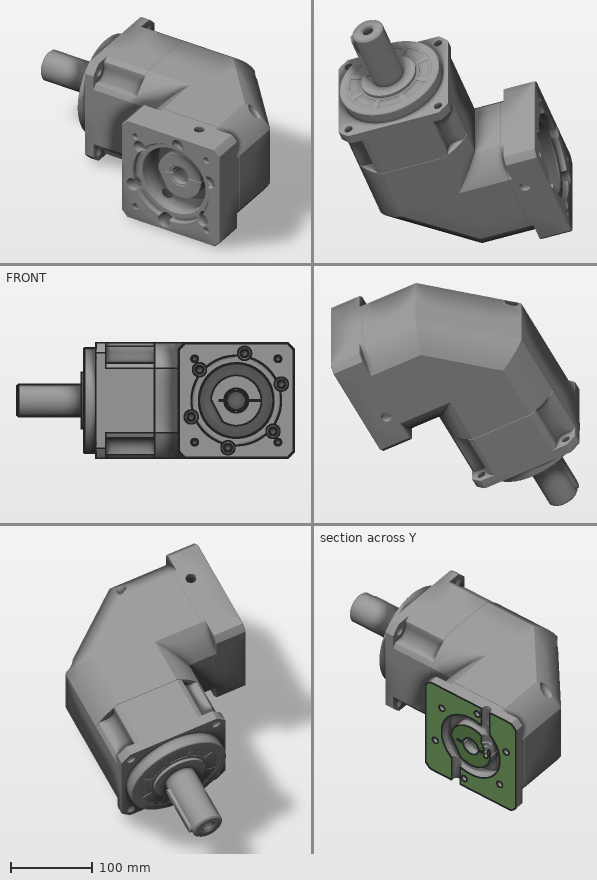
import cadquery as cq
import math


LENGTH_X = 341.0
LENGTH_Y = 220.0
SIDE = 142.0
HALF = SIDE / 2
SHAFT_TIP = HALF - LENGTH_X
INPUT_FACE = LENGTH_Y - HALF
FAR = 204.5

FLAT_HALF = 39.5
BODY_RADIUS = math.hypot(HALF, FLAT_HALF)
FLANGE_RADIUS = 92.5
ADAPTER_RADIUS = 95.0

SHAFT_REACH = 79.0
COLLAR_STEP = 3.0
PILOT_LENGTH = 15.0
FLANGE_THICKNESS = 12.3
GEAR_BODY_LENGTH = 60.0
PILOT_FRONT = SHAFT_TIP + SHAFT_REACH + COLLAR_STEP
FLANGE_FRONT = PILOT_FRONT + PILOT_LENGTH
FLANGE_BACK = FLANGE_FRONT + FLANGE_THICKNESS
GEAR_BACK = FLANGE_BACK + GEAR_BODY_LENGTH

PILOT_DIAMETER = 130.0
PILOT_CHAMFER = 1.0
MOUNT_HOLE_OFFSET = 58.3
MOUNT_HOLE_DIAMETER = 11.0
BOLT_GROOVE_RADIUS = 12.0
GROOVE_FLARE_START = 64.5
GROOVE_FLARE_SLOPE = 0.1
JOINT_CHAMFER = 0.7

COVER_DIAMETER = 109.8
COVER_DEPTH = 0.7
COVER_CHAMFER = 0.7
COVER_PAD_COUNT = 8
COVER_PAD_INNER_RADIUS = 39.0
COVER_PAD_OUTER_RADIUS = 52.5
COVER_PAD_HALF_ANGLE = 18.2
COVER_PAD_DEPTH = 0.7

SHAFT_DIAMETER = 40.0
SHAFT_CHAMFER = 2.0
COLLAR_DIAMETER = 70.0
KEY_WIDTH = 12.0
KEY_LENGTH = 66.5
KEY_TOP = 23.2
KEY_SETBACK = 4.0
CENTRE_MOUTH_RADIUS = 10.2
CENTRE_MOUTH_DEPTH = 1.0
CENTRE_SINK_RADIUS = 8.5
CENTRE_SINK_DEPTH = 1.7
CENTRE_DRILL_RADIUS = 6.8
CENTRE_DRILL_DEPTH = 34.0
DRILL_POINT_ANGLE = 118.0

SLANT_TOP_X = -15.0
SLANT_RIGHT_Y = -31.5
SLANT_RADIUS = 84.0
SCREW_CIRCLE_RADIUS = 72.3
SCREW_ANGLES = (31.6, 121.6)
SCREW_POCKET_DIAMETER = 13.5
SCREW_SEAT_X = -20.5

ADAPTER_THICKNESS = 45.5
ADAPTER_COLLAR = 5.0
JOINT_DEPTH = INPUT_FACE - ADAPTER_THICKNESS
ADAPTER_CHAMFER = 1.0
BORE_DIAMETER = 90.7
BORE_CHAMFER = 1.0
RING_DIAMETER = 109.8
RING_DEPTH = 7.0
RING_CHAMFER = 0.7
CORNER_HOLE_SPACING = 102.5
CORNER_HOLE_DIAMETER = 6.8
CORNER_HOLE_DEPTH = 20.5
POCKET_CIRCLE_RADIUS = 59.0
POCKET_COUNT = 6
POCKET_START_ANGLE = 20.0
POCKET_DIAMETER = 17.0
POCKET_DEPTH = 20.5
POCKET_HOLE_DIAMETER = 8.2
POCKET_HOLE_DEPTH = 13.5
THREAD_CHAMFER = 1.0

HUB_DIAMETER = 61.7
HUB_FACE_DEPTH = 20.5
HUB_BORE_DIAMETER = 23.2
HUB_MOUTH_DIAMETER = 28.5
HUB_MOUTH_DEPTH = 1.0
HUB_CHAMFER = 0.7
HUB_SLIT_WIDTH = 1.5
HUB_SLIT_BLIND_REACH = 21.0
HUB_FLAT_ANGLE = 207.5
HUB_FLAT_DISTANCE = 27.0
CLAMP_X = 23.2
CLAMP_DEPTH = 29.3
CLAMP_ACCESS_DIAMETER = 13.3
CLAMP_SEAT_Z = 13.5
CLAMP_HEAD_DIAMETER = 9.2
CLAMP_HEAD_DEPTH = 5.0
CLAMP_SOCKET_DIAMETER = 6.0
CLAMP_SOCKET_DEPTH = 13.5


def disc(plane, start, end, diameter):
    """Cylinder about the plane's axis between two offsets along it."""
    return cq.Workplane(plane).workplane(offset=start).circle(diameter / 2).extrude(end - start)


def turned_block(plane, start, end, corner_radius):
    """Square block whose corners are turned to a round radius."""
    block = cq.Workplane(plane).workplane(offset=start).rect(SIDE, SIDE).extrude(end - start)
    return block.intersect(disc(plane, start, end, 2 * corner_radius))


def mouth_chamfer(plane, mouth, diameter, chamfer, inward):
    """Cone that breaks the mouth edge of a round recess.

    The mouth is an offset along the plane's axis; inward (1 or -1) points into the recess.
    """
    radius = diameter / 2
    return (
        cq.Workplane(plane).workplane(offset=mouth).circle(radius + chamfer)
        .workplane(offset=inward * chamfer).circle(radius).loft()
    )


def cone_point(radius):
    return radius / math.tan(math.radians(DRILL_POINT_ANGLE / 2))


def drilled_hole(diameter, depth, chamfer):
    """Chamfered blind hole with a drill point, opening at the origin and running along -Z."""
    radius = diameter / 2
    mouth = radius + chamfer
    outline = [(0, 0), (mouth, 0), (radius, -chamfer), (radius, -depth), (0, -depth - cone_point(radius))]
    return cq.Workplane("XZ").polyline(outline).close().revolve(360, (0, 0, 0), (0, 1, 0))


def input_hole(hole, x, z, depth_below_face):
    """Turn a -Z hole to run along +Y and put its mouth below the input face."""
    turned = hole.rotate((0, 0, 0), (1, 0, 0), 90)
    return turned.translate((x, depth_below_face - INPUT_FACE, z))


def bolt_groove():
    """Clearance groove in the +Y +Z corner, with straight, slightly flared walls."""
    wall = MOUNT_HOLE_OFFSET - BOLT_GROOVE_RADIUS
    outside = BODY_RADIUS
    flare = wall - (outside - GROOVE_FLARE_START) * GROOVE_FLARE_SLOPE
    arc_mid = MOUNT_HOLE_OFFSET - BOLT_GROOVE_RADIUS * math.sqrt(0.5)
    return (
        cq.Workplane("YZ").workplane(offset=FLANGE_BACK)
        .moveTo(wall, MOUNT_HOLE_OFFSET)
        .threePointArc((arc_mid, arc_mid), (MOUNT_HOLE_OFFSET, wall))
        .lineTo(GROOVE_FLARE_START, wall)
        .lineTo(outside, flare)
        .lineTo(outside, outside)
        .lineTo(flare, outside)
        .lineTo(wall, GROOVE_FLARE_START)
        .close()
        .extrude(GEAR_BODY_LENGTH)
    )


def cover_pads():
    """Ring of shallow sector recesses in the cover face."""
    half_angle = math.radians(COVER_PAD_HALF_ANGLE)

    def at(radius, angle):
        return (radius * math.cos(angle), radius * math.sin(angle))

    pad = (
        cq.Workplane("YZ").workplane(offset=PILOT_FRONT + COVER_DEPTH)
        .moveTo(*at(COVER_PAD_INNER_RADIUS, -half_angle))
        .lineTo(*at(COVER_PAD_OUTER_RADIUS, -half_angle))
        .threePointArc(at(COVER_PAD_OUTER_RADIUS, 0), at(COVER_PAD_OUTER_RADIUS, half_angle))
        .lineTo(*at(COVER_PAD_INNER_RADIUS, half_angle))
        .threePointArc(at(COVER_PAD_INNER_RADIUS, 0), at(COVER_PAD_INNER_RADIUS, -half_angle))
        .close()
        .extrude(COVER_PAD_DEPTH)
    )
    return [pad.rotate((0, 0, 0), (1, 0, 0), i * 360 / COVER_PAD_COUNT) for i in range(COVER_PAD_COUNT)]


def make_gear_housing():
    pilot = disc("YZ", PILOT_FRONT, FLANGE_FRONT, PILOT_DIAMETER).faces("<X").chamfer(PILOT_CHAMFER)
    body = turned_block("YZ", FLANGE_BACK, GEAR_BACK, BODY_RADIUS).faces(">X").chamfer(JOINT_CHAMFER)
    housing = turned_block("YZ", FLANGE_FRONT, FLANGE_BACK, FLANGE_RADIUS)
    housing = housing.union(body).union(pilot)

    for i in range(4):
        housing = housing.cut(bolt_groove().rotate((0, 0, 0), (1, 0, 0), 90 * i))
    housing = housing.cut(
        cq.Workplane("YZ").workplane(offset=FLANGE_FRONT)
        .rect(2 * MOUNT_HOLE_OFFSET, 2 * MOUNT_HOLE_OFFSET, forConstruction=True).vertices()
        .circle(MOUNT_HOLE_DIAMETER / 2).extrude(FLANGE_THICKNESS))

    housing = housing.cut(disc("YZ", PILOT_FRONT, PILOT_FRONT + COVER_DEPTH, COVER_DIAMETER))
    housing = housing.cut(mouth_chamfer("YZ", PILOT_FRONT, COVER_DIAMETER, COVER_CHAMFER, 1))
    for pad in cover_pads():
        housing = housing.cut(pad)
    return housing.cut(disc("YZ", PILOT_FRONT, FLANGE_BACK, COLLAR_DIAMETER))


def centre_hole():
    """Countersunk, stepped centre hole in the shaft end."""
    outline = [
        (0, 0),
        (0, CENTRE_MOUTH_RADIUS),
        (CENTRE_MOUTH_DEPTH, CENTRE_SINK_RADIUS),
        (CENTRE_SINK_DEPTH, CENTRE_SINK_RADIUS),
        (CENTRE_SINK_DEPTH, CENTRE_DRILL_RADIUS),
        (CENTRE_DRILL_DEPTH, CENTRE_DRILL_RADIUS),
        (CENTRE_DRILL_DEPTH + cone_point(CENTRE_DRILL_RADIUS), 0),
    ]
    hole = cq.Workplane("XY").polyline(outline).close().revolve(360, (0, 0, 0), (1, 0, 0))
    return hole.translate((SHAFT_TIP, 0, 0))


def make_output_shaft():
    collar_front = SHAFT_TIP + SHAFT_REACH
    journal = disc("YZ", SHAFT_TIP, collar_front, SHAFT_DIAMETER).faces("<X").chamfer(SHAFT_CHAMFER)
    collar = disc("YZ", collar_front, FLANGE_BACK, COLLAR_DIAMETER)
    key = (
        cq.Workplane("XZ", origin=(SHAFT_TIP + KEY_SETBACK + KEY_LENGTH / 2, 0, 0))
        .slot2D(KEY_LENGTH, KEY_WIDTH).extrude(-KEY_TOP)
    )
    return journal.union(collar).union(key).cut(centre_hole())


def rounded_side(direction, face, radius):
    """Long slab filling everything behind one housing side.

    The side is flat in the middle and rounds over to the top and bottom. It faces the
    horizontal direction (x, y) and lies at the given distance from the origin.
    """
    facing = cq.Vector(direction[0], direction[1], 0)
    plane = cq.Plane(origin=(0, 0, 0), xDir=facing, normal=facing.cross(cq.Vector(0, 0, 1)))
    centre = face - math.sqrt(radius**2 - FLAT_HALF**2)
    rim = centre + math.sqrt(radius**2 - HALF**2)
    mid_z = (FLAT_HALF + HALF) / 2
    mid = centre + math.sqrt(radius**2 - mid_z**2)
    return (
        cq.Workplane(plane)
        .moveTo(-FAR, -HALF)
        .lineTo(rim, -HALF)
        .threePointArc((mid, -mid_z), (face, -FLAT_HALF))
        .lineTo(face, FLAT_HALF)
        .threePointArc((mid, mid_z), (rim, HALF))
        .lineTo(-FAR, HALF)
        .close()
        .extrude(FAR, both=True)
    )


def make_elbow():
    slant_run = HALF - SLANT_TOP_X
    slant_drop = HALF - SLANT_RIGHT_Y
    slant_length = math.hypot(slant_run, slant_drop)
    slant_direction = (slant_drop / slant_length, slant_run / slant_length)
    slant_face = slant_direction[0] * HALF + slant_direction[1] * SLANT_RIGHT_Y

    inner_sides = rounded_side((0, -1), HALF, BODY_RADIUS).union(rounded_side((-1, 0), HALF, BODY_RADIUS))
    elbow = (
        inner_sides
        .intersect(rounded_side((0, 1), HALF, BODY_RADIUS))
        .intersect(rounded_side((1, 0), HALF, BODY_RADIUS))
        .intersect(rounded_side(slant_direction, slant_face, SLANT_RADIUS))
    )
    span = cq.Workplane("XY").box(FAR, FAR, FAR, centered=(False, False, True))
    elbow = elbow.intersect(span.translate((GEAR_BACK, -JOINT_DEPTH, 0)))

    for angle in SCREW_ANGLES:
        pocket = disc("YZ", SCREW_SEAT_X, FAR, SCREW_POCKET_DIAMETER)
        pocket = pocket.translate((0, SCREW_CIRCLE_RADIUS, 0)).rotate((0, 0, 0), (1, 0, 0), angle)
        elbow = elbow.cut(pocket)
    return elbow


def make_adapter():
    collar_end = JOINT_DEPTH + ADAPTER_COLLAR
    adapter = turned_block("XZ", collar_end, INPUT_FACE, ADAPTER_RADIUS).faces("<Y").chamfer(ADAPTER_CHAMFER)
    collar = turned_block("XZ", JOINT_DEPTH, collar_end, BODY_RADIUS).faces(">Y").chamfer(JOINT_CHAMFER)
    adapter = adapter.union(collar)

    ledge = INPUT_FACE - RING_DEPTH
    adapter = adapter.cut(disc("XZ", ledge, INPUT_FACE, RING_DIAMETER))
    adapter = adapter.cut(mouth_chamfer("XZ", INPUT_FACE, RING_DIAMETER, RING_CHAMFER, -1))
    adapter = adapter.cut(disc("XZ", JOINT_DEPTH, ledge, BORE_DIAMETER))
    adapter = adapter.cut(mouth_chamfer("XZ", ledge, BORE_DIAMETER, BORE_CHAMFER, -1))

    corner_hole = drilled_hole(CORNER_HOLE_DIAMETER, CORNER_HOLE_DEPTH, THREAD_CHAMFER)
    for x in (-CORNER_HOLE_SPACING / 2, CORNER_HOLE_SPACING / 2):
        for z in (-CORNER_HOLE_SPACING / 2, CORNER_HOLE_SPACING / 2):
            adapter = adapter.cut(input_hole(corner_hole, x, z, 0))

    pocket = disc("XZ", INPUT_FACE - POCKET_DEPTH, INPUT_FACE, POCKET_DIAMETER)
    pocket_hole = drilled_hole(POCKET_HOLE_DIAMETER, POCKET_HOLE_DEPTH, THREAD_CHAMFER)
    for i in range(POCKET_COUNT):
        angle = math.radians(POCKET_START_ANGLE + i * 360 / POCKET_COUNT)
        x = POCKET_CIRCLE_RADIUS * math.cos(angle)
        z = POCKET_CIRCLE_RADIUS * math.sin(angle)
        adapter = adapter.cut(pocket.translate((x, 0, z))).cut(input_hole(pocket_hole, x, z, POCKET_DEPTH))

    access = disc("XY", 0, FAR, CLAMP_ACCESS_DIAMETER).translate((CLAMP_X, CLAMP_DEPTH - INPUT_FACE, 0))
    opposite_access = access.rotate((0, 0, 0), (0, 1, 0), 180)
    return adapter.cut(access).cut(opposite_access)


def make_clamp_hub():
    front = INPUT_FACE - HUB_FACE_DEPTH
    length = front - JOINT_DEPTH
    hub_radius = HUB_DIAMETER / 2
    bore_radius = HUB_BORE_DIAMETER / 2
    mouth_radius = HUB_MOUTH_DIAMETER / 2
    outline = [
        (bore_radius, JOINT_DEPTH),
        (hub_radius, JOINT_DEPTH),
        (hub_radius, front),
        (mouth_radius + HUB_CHAMFER, front),
        (mouth_radius, front - HUB_CHAMFER),
        (mouth_radius, front - HUB_MOUTH_DEPTH),
        (bore_radius + HUB_CHAMFER, front - HUB_MOUTH_DEPTH),
        (bore_radius, front - HUB_MOUTH_DEPTH - HUB_CHAMFER),
    ]
    mirrored = [(radius, -depth) for radius, depth in outline]
    hub = cq.Workplane("XY").polyline(mirrored).close().revolve(360, (0, 0, 0), (0, 1, 0))

    slit = (
        cq.Workplane("XZ").workplane(offset=JOINT_DEPTH)
        .center((hub_radius - HUB_SLIT_BLIND_REACH) / 2, 0)
        .rect(hub_radius + HUB_SLIT_BLIND_REACH, HUB_SLIT_WIDTH).extrude(length)
    )
    hub = hub.cut(slit)

    flat = (
        cq.Workplane("XZ").workplane(offset=JOINT_DEPTH).transformed(rotate=(0, 0, HUB_FLAT_ANGLE))
        .center(HUB_FLAT_DISTANCE + hub_radius, 0).rect(HUB_DIAMETER, HUB_DIAMETER).extrude(length)
    )
    hub = hub.cut(flat)

    seat = disc("XY", CLAMP_SEAT_Z, hub_radius, CLAMP_ACCESS_DIAMETER)
    head = disc("XY", CLAMP_SEAT_Z - CLAMP_HEAD_DEPTH, CLAMP_SEAT_Z, CLAMP_HEAD_DIAMETER)
    socket = drilled_hole(CLAMP_SOCKET_DIAMETER, CLAMP_SOCKET_DEPTH, THREAD_CHAMFER)
    socket = socket.translate((0, 0, CLAMP_SEAT_Z - CLAMP_HEAD_DEPTH))
    for hole in (seat, head, socket):
        hub = hub.cut(hole.translate((CLAMP_X, CLAMP_DEPTH - INPUT_FACE, 0)))
    return hub


gear_housing = make_gear_housing()
output_shaft = make_output_shaft()
elbow = make_elbow()
adapter = make_adapter()
clamp_hub = make_clamp_hub()

result = cq.Compound.makeCompound([
    gear_housing.solids().val(),
    output_shaft.solids().val(),
    elbow.solids().val(),
    adapter.solids().val(),
    clamp_hub.solids().val(),
])